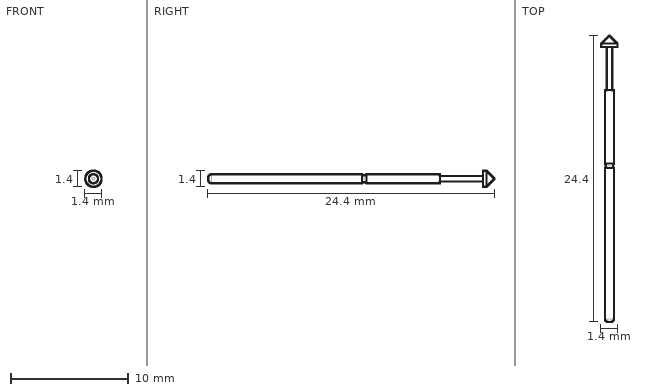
import cadquery as cq

overall_length = 24.4

head_radius = 0.7
cone_length = head_radius
rim_length = 0.3

plunger_radius = 0.25
plunger_length = 3.66

barrel_radius = 0.39
barrel_front_length = 6.24
tail_round = 0.275

groove_width = 0.39
crease_offset = 0.21
groove_depth = 0.085
flank_depth = 0.05

tail_y = -overall_length / 2
apex_y = overall_length / 2
rim_front_y = apex_y - cone_length
rim_back_y = rim_front_y - rim_length
barrel_front_y = rim_back_y - plunger_length
groove_front_y = barrel_front_y - barrel_front_length
groove_crease_y = groove_front_y - crease_offset
groove_back_y = groove_front_y - groove_width


def revolve_about_y(outline):
    """Turn a closed half outline into a solid of revolution about Y."""
    return outline.revolve(360, (0, 0), (0, 1))


def make_head_and_plunger():
    """Pointed head and the thin shaft that slides in the barrel."""
    outline = (
        cq.Workplane("XY")
        .moveTo(0, apex_y)
        .lineTo(head_radius, rim_front_y)
        .lineTo(head_radius, rim_back_y)
        .lineTo(plunger_radius, rim_back_y)
        .lineTo(plunger_radius, barrel_front_y)
        .lineTo(0, barrel_front_y)
        .close()
    )
    return revolve_about_y(outline)


def flank_point(edge_y):
    """Point one third of the way from a groove edge to the crease."""
    return (barrel_radius - flank_depth, edge_y + (groove_crease_y - edge_y) / 3)


def make_barrel():
    """Barrel with its retaining groove and rounded tail."""
    crease = (barrel_radius - groove_depth, groove_crease_y)
    outline = (
        cq.Workplane("XY")
        .moveTo(0, barrel_front_y)
        .lineTo(barrel_radius, barrel_front_y)
        .lineTo(barrel_radius, groove_front_y)
        .threePointArc(flank_point(groove_front_y), crease)
        .threePointArc(flank_point(groove_back_y), (barrel_radius, groove_back_y))
        .lineTo(barrel_radius, tail_y)
        .lineTo(0, tail_y)
        .close()
    )
    return revolve_about_y(outline).faces("<Y").edges().fillet(tail_round)


result = make_barrel().union(make_head_and_plunger())